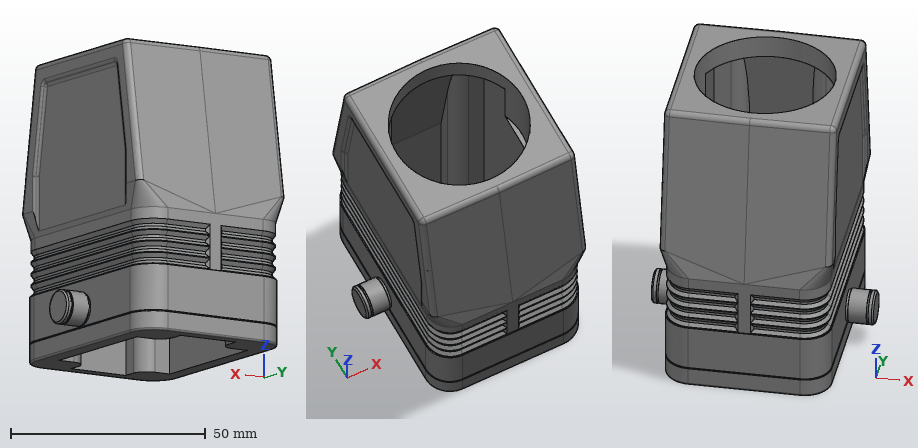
import cadquery as cq

total_height = 77.25
taper_top = 39.0
band_top = 32.2
grip_top = 29.2
base_top = 17.3
seam_height = 5.1

cutter_margin = 0.8

base_length = 60.0
base_half_x = 21.7
base_half_y = base_length / 2
base_corner = 7.1
bottom_rounding = 0.55
seam_width = 0.3
seam_depth = 0.115

band_half_x = 21.4
band_half_y = 29.75
band_corner = 6.9

hood_half_x = 22.5
hood_top_half_y = 22.1
hood_fold = 0.3
hood_rounding = 1.55
hood_flat_half_x = hood_half_x - hood_rounding

groove_count = 4
groove_pitch = (grip_top - base_top) / groove_count
groove_crest = 0.2
groove_upper_slope = 1.15
groove_floor = 0.7
groove_depth = 0.85
rib_half_width = 1.6

panel_depth = 0.85
panel_top = 71.4
panel_top_half_y = 17.0
panel_knee = 48.05
panel_knee_half_y = 21.0
panel_bottom = 27.0
panel_rounding = 1.4
panel_corner = 0.7
panel_draft = 45.0

pin_span = 58.0
pin_radius = 4.5
pin_height = 9.7
pin_chamfer = 0.5
pin_groove_centre = 27.4
pin_groove_width = 0.5
pin_groove_depth = 0.3
pin_neck_end = 22.3

bore_radius = 18.2
bore_depth = 19.3
roof_thickness = 5.95
cavity_half_x = 16.85
cavity_half_y = 18.55
channel_half_x = 8.35
channel_corner = 4.0
hood_wall = 3.55


def ridge_half_y(z):
    """Half size in Y of the hood at its central ridge."""
    share = (z - band_top) / (total_height - band_top)
    return band_half_y + share * (hood_top_half_y - band_half_y)


def rounded_block(half_x, half_y, corner, bottom, top):
    """Upright block with rounded vertical edges."""
    block = cq.Workplane("XY").workplane(offset=bottom).rect(2 * half_x, 2 * half_y)
    return block.extrude(top - bottom).edges("|Z").fillet(corner)


def rounded_wire(half_x, half_y, corner, z):
    """Outline of a rounded rectangle at height z."""
    block = rounded_block(half_x, half_y, corner, z, z + corner)
    return block.faces("<Z").wires().val()


def inset_band_wire(inset, z):
    """Outline of the band at height z, moved inwards by the inset."""
    return rounded_wire(band_half_x - inset, band_half_y - inset, band_corner - inset, z)


def folded_outline(z):
    """Hood section: a rectangle whose Y sides peak at the ridge."""
    ridge = ridge_half_y(z)
    side = ridge - hood_fold
    return [
        (hood_half_x, -side), (hood_half_x, side), (0, ridge),
        (-hood_half_x, side), (-hood_half_x, -side), (0, -ridge),
    ]


def make_base():
    """Base with a rounded bottom edge and a shallow seam line around it."""
    base = rounded_block(base_half_x, base_half_y, base_corner, 0, base_top)
    base = base.faces("<Z").edges().fillet(bottom_rounding)
    seam_bottom = seam_height - seam_width / 2
    seam_top = seam_height + seam_width / 2
    outer_x = base_half_x + cutter_margin
    outer_y = base_half_y + cutter_margin
    seam = rounded_block(outer_x, outer_y, base_corner, seam_bottom, seam_top)
    core = rounded_block(
        base_half_x - seam_depth, base_half_y - seam_depth, base_corner - seam_depth, seam_bottom, seam_top
    )
    return base.cut(seam.cut(core))


def make_groove(top):
    """Ring that cuts one grip groove whose upper edge lies at the given height."""
    bottom = top - groove_pitch + groove_crest
    floor_top = top - groove_upper_slope
    levels = [(bottom, 0), (floor_top - groove_floor, groove_depth), (floor_top, groove_depth), (top, 0)]
    ring = rounded_block(band_half_x + cutter_margin, band_half_y + cutter_margin, band_corner, bottom, top)
    for (low, low_inset), (high, high_inset) in zip(levels, levels[1:]):
        core = cq.Solid.makeLoft([inset_band_wire(low_inset, low), inset_band_wire(high_inset, high)], True)
        ring = ring.cut(cq.Workplane(core))
    return ring


def make_rib():
    """Rib across both Y sides that ends the grooves with sloping walls."""
    foot_half_width = rib_half_width + groove_depth
    foot_y = band_half_y - groove_depth
    outline = [
        (-rib_half_width, -band_half_y), (rib_half_width, -band_half_y),
        (foot_half_width, -foot_y), (foot_half_width, foot_y),
        (rib_half_width, band_half_y), (-rib_half_width, band_half_y),
        (-foot_half_width, foot_y), (-foot_half_width, -foot_y),
    ]
    rib = cq.Workplane("XY").workplane(offset=base_top).polyline(outline).close()
    return rib.extrude(grip_top - base_top)


def make_band():
    """Straight band with the grip grooves around it."""
    band = rounded_block(band_half_x, band_half_y, band_corner, base_top, band_top)
    for index in range(groove_count):
        band = band.cut(make_groove(grip_top - index * groove_pitch))
    return band.union(make_rib())


def make_transition():
    """Flare from the well rounded band to the nearly square hood."""
    top_half_y = ridge_half_y(taper_top) - hood_fold * hood_flat_half_x / hood_half_x
    lower = inset_band_wire(0, band_top)
    upper = rounded_wire(hood_half_x, top_half_y, hood_rounding, taper_top)
    return cq.Workplane(cq.Solid.makeLoft([lower, upper], True))


def make_hood():
    """Tapering hood; its Y sides run down to a point on the ridge."""
    hood = cq.Workplane("XY").workplane(offset=band_top).polyline(folded_outline(band_top)).close()
    hood = hood.workplane(offset=total_height - band_top).polyline(folded_outline(total_height)).close()
    hood = hood.loft(ruled=True)
    corner_edges = hood.edges(">X or <X").edges("not |Y").vals()
    top_edges = hood.faces(">Z").edges().vals()
    hood = hood.newObject(corner_edges + top_edges).fillet(hood_rounding)

    outer_x = hood_half_x + cutter_margin
    lower_limit = [
        (0, band_top), (hood_flat_half_x, taper_top), (outer_x, taper_top), (outer_x, total_height),
        (-outer_x, total_height), (-outer_x, taper_top), (-hood_flat_half_x, taper_top),
    ]
    kept = cq.Workplane("XZ").polyline(lower_limit).close().extrude(base_half_y, both=True)
    return hood.intersect(kept)


def make_panel_cutter():
    """Tool for the +X panel: a rounded plateau standing on a plate outside the hood."""
    outline = (
        cq.Sketch()
        .polygon([
            (-panel_knee_half_y, panel_bottom), (panel_knee_half_y, panel_bottom),
            (panel_knee_half_y, panel_knee), (panel_top_half_y, panel_top),
            (-panel_top_half_y, panel_top), (-panel_knee_half_y, panel_knee),
            (-panel_knee_half_y, panel_bottom),
        ])
        .vertices().fillet(panel_corner)
    )
    floor_x = hood_half_x - panel_depth
    plateau = cq.Workplane("YZ").workplane(offset=floor_x).placeSketch(outline)
    plateau = plateau.extrude(panel_depth, taper=-panel_draft)
    plateau = plateau.faces("<X").edges().fillet(panel_rounding)
    plate_centre = (hood_half_x, 0, (panel_bottom + panel_top) / 2)
    plate = cq.Workplane("YZ", origin=plate_centre)
    plate = plate.rect(4 * panel_knee_half_y, 2 * (panel_top - panel_bottom)).extrude(panel_depth)
    reach_y = panel_knee_half_y + 2 * panel_depth
    rim = cq.selectors.BoxSelector(
        (hood_half_x - panel_depth / 2, -reach_y, panel_bottom - 2 * panel_depth),
        (hood_half_x + panel_depth / 2, reach_y, panel_top + 2 * panel_depth),
    )
    return plateau.union(plate).edges(rim).fillet(panel_rounding)


def pin_ring(inner, outer):
    """Ring that turns both pins down to the groove radius between two distances from the centre."""
    ring = cq.Workplane("YZ").workplane(offset=inner).center(0, pin_height)
    ring = ring.circle(pin_radius + cutter_margin).circle(pin_radius - pin_groove_depth)
    ring = ring.extrude(outer - inner)
    return ring.union(ring.mirror("YZ"))


def make_pins():
    """Both locking pins as one round bar through the base."""
    bar = cq.Workplane("YZ").workplane(offset=-pin_span / 2).center(0, pin_height)
    bar = bar.circle(pin_radius).extrude(pin_span)
    bar = bar.faces("<X or >X").edges().chamfer(pin_chamfer)
    bar = bar.cut(pin_ring(base_half_x - cutter_margin, pin_neck_end))
    groove_inner = pin_groove_centre - pin_groove_width / 2
    return bar.cut(pin_ring(groove_inner, groove_inner + pin_groove_width))


def make_pillars():
    """Four corner pillars that bound the channel, rounded towards the cavity."""
    pillar = cq.Workplane("XY", origin=(channel_half_x, cavity_half_y, 0))
    pillar = pillar.rect(base_half_x, base_half_y, centered=False).extrude(total_height)
    pillar = pillar.edges("|Z").fillet(channel_corner)
    pair = pillar.union(pillar.mirror("YZ"))
    return pair.union(pair.mirror("XZ"))


def make_cavity():
    """Cable bore, rectangular well and a channel that follows the sloping hood sides."""
    ceiling = total_height - roof_thickness
    bore = cq.Workplane("XY").workplane(offset=total_height - bore_depth)
    bore = bore.circle(bore_radius).extrude(bore_depth)
    well = cq.Workplane("XY").rect(2 * cavity_half_x, 2 * cavity_half_y).extrude(ceiling)
    lower_y = band_half_y - hood_wall
    upper_y = ridge_half_y(ceiling) - hood_wall
    profile = [
        (-lower_y, 0), (lower_y, 0), (lower_y, band_top),
        (upper_y, ceiling), (-upper_y, ceiling), (-lower_y, band_top),
    ]
    channel = cq.Workplane("YZ").polyline(profile).close().extrude(cavity_half_x, both=True)
    return bore.union(well).union(channel.cut(make_pillars()))


panel = make_panel_cutter()
body = make_base().union(make_band()).union(make_transition()).union(make_hood())
body = body.cut(panel).cut(panel.mirror("YZ"))
result = body.union(make_pins()).cut(make_cavity())